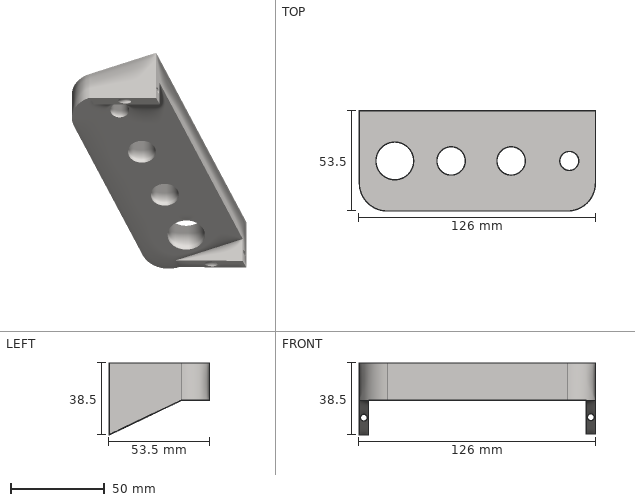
import cadquery as cq
import math

WIDTH = 126.0
DEPTH = 53.54
THICKNESS = 20.0
CORNER_RADIUS = 15.0

TOOL_HOLES = [
    (19.0, 20.0),
    (49.0, 15.0),
    (81.0, 15.0),
    (112.0, 10.0),
]
TOOL_HOLE_Y = -DEPTH / 2

LEG_WIDTH = 5.0
LEG_LENGTH = DEPTH - CORNER_RADIUS
LEFT_LEG_DROP = 18.47
RIGHT_LEG_ANGLE = 25.0
RIGHT_LEG_DROP = LEG_LENGTH * math.tan(math.radians(RIGHT_LEG_ANGLE))

LEGS = [
    (0.0, LEFT_LEG_DROP),
    (WIDTH - LEG_WIDTH, RIGHT_LEG_DROP),
]

SCREW_DIAMETER = 3.5


def make_plate():
    """Rectangular plate with its two front corners rounded."""
    plate = cq.Workplane("XY").box(WIDTH, DEPTH, THICKNESS, centered=False)
    plate = plate.translate((0, -DEPTH, 0))
    return plate.edges("|Z and <Y").fillet(CORNER_RADIUS)


def make_leg(left_x, drop):
    """Triangular leg, deepest at the back, with a screw hole at half its drop."""
    profile = [(0, 0), (-LEG_LENGTH, 0), (0, -drop)]
    leg = cq.Workplane("YZ").polyline(profile).close().extrude(LEG_WIDTH)
    drill = cq.Workplane("XZ").center(LEG_WIDTH / 2, -drop / 2).circle(SCREW_DIAMETER / 2)
    leg = leg.cut(drill.extrude(LEG_LENGTH))
    return leg.translate((left_x, 0, 0))


def cut_tool_holes(body):
    """Drill the row of vertical holes along the middle of the plate."""
    for hole_x, diameter in TOOL_HOLES:
        drill = cq.Workplane("XY").center(hole_x, TOOL_HOLE_Y).circle(diameter / 2)
        body = body.cut(drill.extrude(THICKNESS))
    return body


result = cut_tool_holes(make_plate())
for leg_x, leg_drop in LEGS:
    result = result.union(make_leg(leg_x, leg_drop))